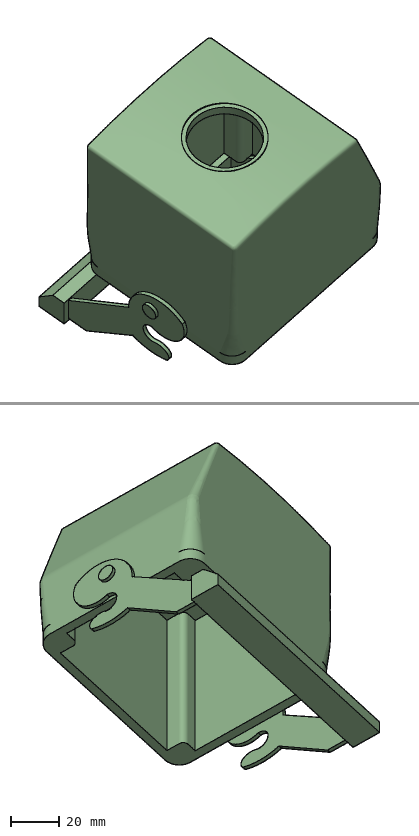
import cadquery as cq
import math


total_width = 101.3
total_height = 118.3

housing_width = 82.8
housing_length = 94.2
rim_height = 5.7
crown_height = 82.3
crown_radius = 283.9
draft_angle = math.radians(0.9)
bend_height = 35.8
bend_radius = 8.9
slope_top_y = 30.8

edge_radius = 1.7
rim_corner = (rim_height, 7.5)
crown_corner = (crown_height, edge_radius)
front_corners = [rim_corner, (21.3, 3.4), (37.9, 2.7), crown_corner]
back_corners = [rim_corner, (21.3, 4.7), (bend_height, 3.3), crown_corner]

entry_y = -5.9
entry_diameter = 32.0
seat_diameter = 35.8
seat_depth = 0.6

wall = 4.0
slope_wall = 3.0
roof_wall = 4.5
post_width = 9.1
post_length = 7.3
post_radius = 2.6

bar_length = 108.5
bar_size = 14.0
bar_chamfer = 7.7

arm_gap = 99.6
arm_thickness = 1.8
arm_foot_rise = 1.2
arm_foot_length = 9.9
arm_top_drop = 0.7

cam_heel = (-12.7, 0.8)
cam_top = (4.7, 19.2)
cam_tip = (17.0, 14.5)
cam_belly = (13.6, 0.1)
notch_top = (0.5, -1.5)
notch_end = (-4.6, -6.2)
finger_root_top = (1.8, -10.5)
finger_back = (5.2, -10.3)
finger_tip_top = (8.2, -11.6)
finger_tip = (9.6, -14.2)
finger_tip_bottom = (8.5, -16.8)
finger_belly = (0.2, -18.2)
finger_root_bottom = (-10.4, -16.2)

pivot_z = 9.9
shaft_diameter = 5.2
head_diameter = 7.5
head_thickness = 1.5

half_width = housing_width / 2
half_length = housing_length / 2
inner_half_width = half_width - wall
inner_half_length = half_length - wall
seat_z = crown_height - seat_depth
ceiling_z = seat_z - roof_wall
bar_left = half_width - total_width
bar_right = bar_left + bar_size
bar_bottom = crown_height - total_height
bar_top = bar_bottom + bar_size
arm_bottom = bar_bottom + arm_foot_rise


def wall_y(z):
    """Y of the drafted back wall at height z; the front wall mirrors it."""
    return half_length - math.tan(draft_angle) * (z - rim_height)


def roof_z(y):
    """Height of the crowned roof at y."""
    return crown_height - crown_radius + math.sqrt(crown_radius**2 - (y - entry_y) ** 2)


slope_top_z = roof_z(slope_top_y)
bend_y = wall_y(bend_height)
slope_angle = math.atan2(bend_y - slope_top_y, slope_top_z - bend_height)


def inner_slope_y(z):
    """Y of the cavity side of the sloped back wall at height z."""
    return bend_y - slope_wall / math.cos(slope_angle) - (z - bend_height) * math.tan(slope_angle)


def inner_slope_z(y):
    """Height of the cavity side of the sloped back wall at y."""
    return bend_height + (inner_slope_y(bend_height) - y) / math.tan(slope_angle)


def rim_band():
    band = cq.Workplane().box(housing_width, housing_length, rim_height, centered=(True, True, False))
    return band.edges("|Z").fillet(rim_corner[1])


def sharp_hood():
    """Hood above the rim, sharp-edged but for the bend at the foot of the slope."""
    front_top_z = roof_z(-wall_y(crown_height))
    bend_setback = bend_radius * math.tan((slope_angle - draft_angle) / 2)
    bend_start_y = bend_y - bend_setback * math.sin(slope_angle)
    bend_start_z = bend_height + bend_setback * math.cos(slope_angle)
    bend_end_z = bend_height - bend_setback * math.cos(draft_angle)

    profile = cq.Workplane("YZ", origin=(-half_width, 0, 0)).moveTo(-half_length, rim_height)
    for z, _ in front_corners[1:-1]:
        profile = profile.lineTo(-wall_y(z), z)
    profile = (
        profile.lineTo(-wall_y(front_top_z), front_top_z)
        .threePointArc((entry_y, crown_height), (slope_top_y, slope_top_z))
        .lineTo(bend_start_y, bend_start_z)
        .tangentArcPoint((wall_y(bend_end_z), bend_end_z), relative=False)
    )
    for z, _ in reversed(back_corners[:-2]):
        profile = profile.lineTo(wall_y(z), z)
    return profile.close().extrude(housing_width, clean=False)


def corner_radius(point):
    """Rounding radius at a point on a sharp corner edge, linear between the set heights."""
    corners = front_corners if point.y < 0 else back_corners
    for (low, low_radius), (high, high_radius) in zip(corners, corners[1:]):
        if point.z <= high:
            break
    return low_radius + (high_radius - low_radius) * (point.z - low) / (high - low)


def rounded_hood():
    """Hood with a constant fillet round the roof and a tapering one down each corner."""
    hood = sharp_hood()
    roof = hood.faces(cq.selectors.NearestToPointSelector((0, entry_y, crown_height)))
    fillet = cq.occ_impl.shapes.BRepFilletAPI_MakeFillet(hood.val().wrapped)
    for edge in hood.faces("<X or >X").edges().vals():
        is_rim_edge = edge.BoundingBox().zmax < rim_height + edge_radius
        is_roof_edge = edge.BoundingBox().zmax > slope_top_z + edge_radius
        if not is_rim_edge and not is_roof_edge:
            fillet.Add(corner_radius(edge.startPoint()), corner_radius(edge.endPoint()), edge.wrapped)
    for edge in roof.edges().vals():
        fillet.Add(edge_radius, edge.wrapped)
    return cq.Workplane(cq.Shape.cast(fillet.Shape())).clean()


def cavity():
    """Room inside the housing, leaving a rounded post standing in each corner."""
    room = (
        cq.Workplane("YZ")
        .moveTo(-inner_half_length, 0)
        .lineTo(inner_half_length, 0)
        .lineTo(inner_half_length, inner_slope_z(inner_half_length))
        .lineTo(inner_slope_y(ceiling_z), ceiling_z)
        .lineTo(-inner_half_length, ceiling_z)
        .close()
        .extrude(inner_half_width, both=True)
    )
    posts = (
        cq.Workplane()
        .rect(2 * inner_half_width, 2 * inner_half_length, forConstruction=True)
        .vertices()
        .rect(2 * post_width, 2 * post_length)
        .extrude(ceiling_z)
        .edges("|Z")
        .fillet(post_radius)
    )
    return room.cut(posts)


def cable_entry():
    seat = cq.Workplane(origin=(0, entry_y, seat_z)).circle(seat_diameter / 2).extrude(2 * seat_depth)
    hole = cq.Workplane(origin=(0, entry_y, seat_z)).circle(entry_diameter / 2).extrude(-2 * roof_wall)
    return seat.union(hole)


def lever_bar():
    return (
        cq.Workplane("XZ")
        .moveTo(bar_left, bar_bottom)
        .lineTo(bar_right, bar_bottom)
        .lineTo(bar_right, bar_top)
        .lineTo(bar_left + bar_chamfer, bar_top)
        .lineTo(bar_left, bar_top - bar_chamfer)
        .close()
        .extrude(bar_length / 2, both=True)
    )


def back_arm():
    return (
        cq.Workplane("XZ", origin=(0, arm_gap / 2, 0))
        .moveTo(bar_right, arm_bottom)
        .lineTo(bar_right + arm_foot_length, arm_bottom)
        .lineTo(*finger_root_bottom)
        .threePointArc(finger_belly, finger_tip_bottom)
        .threePointArc(finger_tip, finger_tip_top)
        .threePointArc(finger_back, finger_root_top)
        .threePointArc(notch_end, notch_top)
        .threePointArc(cam_belly, cam_tip)
        .threePointArc(cam_top, cam_heel)
        .lineTo(bar_right, bar_top - arm_top_drop)
        .close()
        .extrude(-arm_thickness)
    )


def back_pin():
    """Pin fixed to the back arm: its head outside, its shaft running in to the housing."""
    head_y = arm_gap / 2 + arm_thickness
    pin_start = cq.Workplane("XZ", origin=(0, head_y, pivot_z))
    head = pin_start.circle(head_diameter / 2).extrude(-head_thickness)
    shaft = pin_start.circle(shaft_diameter / 2).extrude(head_y - inner_half_length)
    return head.union(shaft)


housing_block = rim_band().union(rounded_hood(), clean=False)
housing = housing_block.cut(cavity(), clean=False).cut(cable_entry(), clean=False)

back_side = back_arm().union(back_pin())
front_side = back_side.mirror("XZ")
lever = lever_bar().union(back_side).union(front_side).cut(housing_block)

result = cq.Compound.makeCompound([housing.solids().val(), lever.solids().val()])